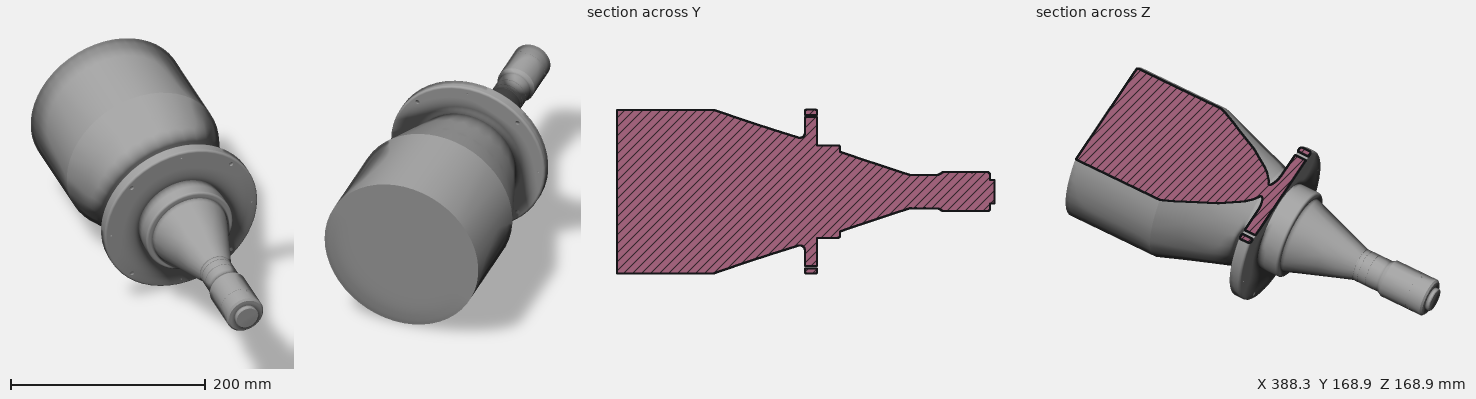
import cadquery as cq
import math

barrel_end = 99.8
large_cone_end = 187.0
neck_end = 188.5
flange_front = 193.0
flange_back = 206.0
collar_end = 229.5
small_cone_end = 300.5
head_cone_start = 330.0
head_start = 334.7
head_end = 383.5
total_length = 388.3

barrel_radius = 84.3
neck_radius = 55.5
flange_radius = 84.45
collar_radius = 47.8
small_cone_radius = 41.0
tube_radius = 17.5
head_radius = 20.0
tip_radius = 12.5

neck_fillet = flange_front - neck_end
flange_fillet = 2.5
collar_fillet = 2.5
head_chamfer = 2.0
tip_chamfer = 0.8

groove_width = 1.0
groove_depth = 0.5
tube_groove_centers = (301.7, 306.8, 316.0)
head_joint_position = 365.0
head_joint_width = 0.5
head_joint_depth = 0.15

flange_hole_circle_radius = 77.5
bolt_hole_diameter = 4.5
pin_hole_diameter = 2.0
flange_hole_count = 4
bolt_start_angle = 45
set_screw_position = 368.5
set_screw_diameter = 2.0
set_screw_depth = 2.5
set_screw_count = 3
set_screw_start_angle = 68


def turned_body():
    """Revolve the half outline, given as (x, radius), around the X axis."""
    arc_offset = neck_fillet * math.sqrt(0.5)
    neck_arc_middle = (neck_end + arc_offset, neck_radius + neck_fillet - arc_offset)
    outline = (
        cq.Workplane("XY")
        .moveTo(0, 0)
        .lineTo(0, barrel_radius)
        .lineTo(barrel_end, barrel_radius)
        .lineTo(large_cone_end, neck_radius)
        .lineTo(neck_end, neck_radius)
        .threePointArc(neck_arc_middle, (flange_front, neck_radius + neck_fillet))
        .lineTo(flange_front, collar_radius)
        .lineTo(collar_end - collar_fillet, collar_radius)
        .tangentArcPoint((collar_end, collar_radius - collar_fillet), relative=False)
        .lineTo(collar_end, small_cone_radius)
        .lineTo(small_cone_end, tube_radius)
        .lineTo(head_cone_start, tube_radius)
        .lineTo(head_start, head_radius)
        .lineTo(head_end - head_chamfer, head_radius)
        .lineTo(head_end, head_radius - head_chamfer)
        .lineTo(head_end, tip_radius)
        .lineTo(total_length - tip_chamfer, tip_radius)
        .lineTo(total_length, tip_radius - tip_chamfer)
        .lineTo(total_length, 0)
        .close()
    )
    return outline.revolve(360, (0, 0, 0), (1, 0, 0))


def flange():
    disc = cq.Workplane("YZ", origin=(flange_front, 0, 0)).circle(flange_radius)
    return disc.extrude(flange_back - flange_front).edges().fillet(flange_fillet)


def groove(center, width, depth, surface_radius):
    """Ring that cuts a groove into a cylinder of the given radius."""
    ring = cq.Workplane("YZ", origin=(center - width / 2, 0, 0))
    return ring.circle(surface_radius + depth).circle(surface_radius - depth).extrude(width)


def flange_holes(diameter, start_angle):
    """Through holes evenly spaced around the flange."""
    return (
        cq.Workplane("YZ", origin=(flange_front, 0, 0))
        .polarArray(flange_hole_circle_radius, start_angle, 360, flange_hole_count)
        .circle(diameter / 2)
        .extrude(flange_back - flange_front)
    )


def set_screw_hole(angle):
    """Blind radial hole in the head, with the angle measured from +Y towards +Z."""
    direction = cq.Vector(0, math.cos(math.radians(angle)), math.sin(math.radians(angle)))
    bottom = direction * (head_radius - set_screw_depth) + cq.Vector(set_screw_position, 0, 0)
    return cq.Solid.makeCylinder(set_screw_diameter / 2, 2 * set_screw_depth, bottom, direction)


result = turned_body().union(flange())

for groove_center in tube_groove_centers:
    result = result.cut(groove(groove_center, groove_width, groove_depth, tube_radius))
result = result.cut(groove(head_joint_position, head_joint_width, head_joint_depth, head_radius))

result = result.cut(flange_holes(bolt_hole_diameter, bolt_start_angle))
result = result.cut(flange_holes(pin_hole_diameter, 0))

for index in range(set_screw_count):
    screw_angle = set_screw_start_angle + index * 360 / set_screw_count
    result = result.cut(set_screw_hole(screw_angle))